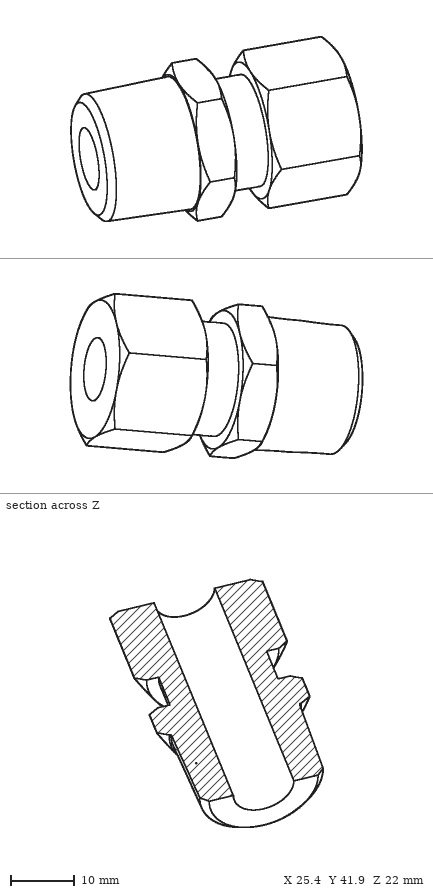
import cadquery as cq
import math

total_length = 41.9
across_flats = 22.0
nut_length = 15.0
neck_length = 5.9
collar_length = 6.0
spigot_length = total_length - nut_length - neck_length - collar_length

neck_diameter = 18.0
bore_diameter = 10.0

spigot_root_diameter = 21.35
spigot_middle_diameter = 20.95
spigot_tip_diameter = 20.55
spigot_middle_y = 8.15
tip_chamfer_length = 1.15
tip_face_diameter = 18.1

corner_chamfer_angle = 30.0

collar_start = spigot_length
neck_start = collar_start + collar_length
nut_start = neck_start + neck_length

across_corners = across_flats / math.cos(math.radians(30))
corner_overhang = (across_corners - across_flats) / 2
corner_chamfer = corner_overhang * math.tan(math.radians(corner_chamfer_angle))


def revolve_about_y(points):
    """Revolve a closed (radius, y) outline about the Y axis."""
    return cq.Workplane("XY").polyline(points).close().revolve(360, (0, 0, 0), (0, 1, 0))


def cylinder(start, length, diameter):
    """Solid cylinder along +Y."""
    return cq.Workplane("XZ", origin=(0, start, 0)).circle(diameter / 2).extrude(-length)


def chamfered_hexagon(start, length):
    """Hexagonal prism along +Y, corners on the X axis, with conically turned ends."""
    end = start + length
    prism = cq.Workplane("XZ", origin=(0, start, 0)).polygon(6, across_corners).extrude(-length)
    turned_envelope = revolve_about_y([
        (0, start),
        (across_flats / 2, start),
        (across_corners / 2, start + corner_chamfer),
        (across_corners / 2, end - corner_chamfer),
        (across_flats / 2, end),
        (0, end),
    ])
    return prism.intersect(turned_envelope)


def tapered_spigot():
    """Two-stage tapered spigot with a chamfered tip."""
    return revolve_about_y([
        (0, 0),
        (tip_face_diameter / 2, 0),
        (spigot_tip_diameter / 2, tip_chamfer_length),
        (spigot_middle_diameter / 2, spigot_middle_y),
        (spigot_root_diameter / 2, spigot_length),
        (0, spigot_length),
    ])


body = tapered_spigot()
body = body.union(chamfered_hexagon(collar_start, collar_length))
body = body.union(cylinder(neck_start, neck_length, neck_diameter))
body = body.union(chamfered_hexagon(nut_start, nut_length))

through_bore = cylinder(0, total_length, bore_diameter)
result = body.cut(through_bore)